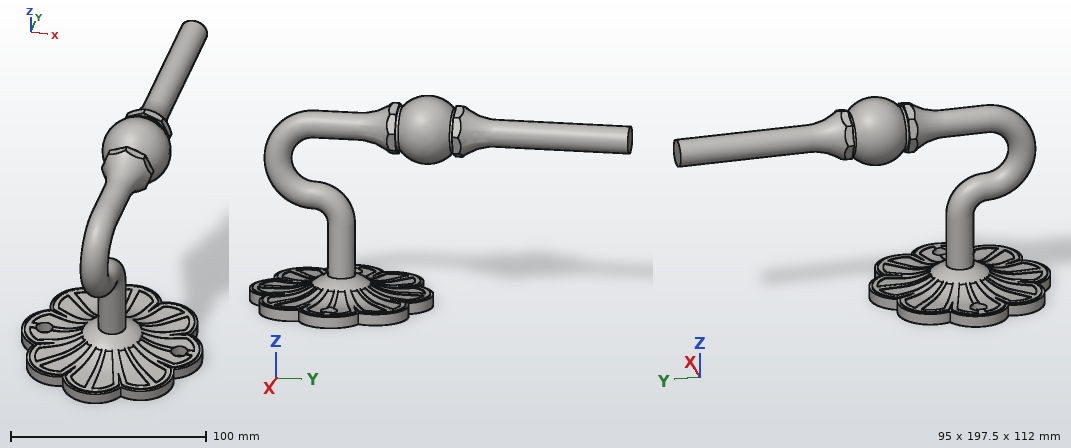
import cadquery as cq
import math

length = 197.5
rosette_width = 95.0
height = 112.0
rosette_radius = rosette_width / 2

petals = 8
petal_radius = 17.0
petal_centre = rosette_radius - petal_radius
half_petal_angle = math.pi / petals
plate_top = 6.5
ledge_depth = 0.5
ledge_width = 1.48
ledge_top = plate_top - ledge_depth
raised_radius = petal_radius - ledge_width

rod_radius = 14.0 / 2
dome_radius = 15.2
dome_foot = 10.7
dome_top = 14.6
dome_mid_radius = 12.0
dome_mid_height = 12.8
flare_foot_radius = 30.0

panel_depth = 0.5
panel_margin = 2.8
panel_top_radius = 15.6
panel_foot_radius = 31.0
panel_arc_radius = raised_radius - panel_margin
petal_side_slope = math.radians(18)
panel_inner_reach = 11.8
rib_inner_half = 0.89
rib_outer_half = 2.0

hole_diameter = 8.5
hole_offset = 36.0

ball_radius = 17.5
rod_height = height - ball_radius
stem_top = 42.5
lower_bend = 14.0
upper_bend = (rod_height - stem_top - lower_bend) / 2
rod_end = length - rosette_radius

ball_y = 44.8
nut_face = 14.8
sleeve_end = 35.2
sleeve_flare_radius = 26.0
nut_corner_radius = 13.5
nut_turn = 3
nut_sides = 8
collar_radius = 11.5


def tangent_arc_to_level(profile, start, end):
    """Add an arc from start that arrives level at end."""
    run = end[0] - start[0]
    drop = start[1] - end[1]
    radius = (run ** 2 + drop ** 2) / (2 * drop)
    half_sweep = math.asin(run / radius) / 2
    middle = (
        end[0] - radius * math.sin(half_sweep),
        end[1] + radius * (1 - math.cos(half_sweep)),
    )
    return profile.threePointArc(middle, end)


def side_point(line_distance, reach):
    """Point on the straight side line of a petal lying along +X."""
    c = math.cos(petal_side_slope)
    s = math.sin(petal_side_slope)
    return (reach * c - line_distance * s, reach * s + line_distance * c)


def side_corner(line_distance, arc_radius):
    """Outer crossing of the side line with a circle about the petal centre."""
    rise = line_distance + petal_centre * math.sin(petal_side_slope)
    reach = petal_centre * math.cos(petal_side_slope) + math.sqrt(arc_radius ** 2 - rise ** 2)
    return side_point(line_distance, reach)


def around(shape):
    """Repeat a petal feature around the rosette."""
    copies = shape
    for i in range(1, petals):
        copies = copies.union(shape.rotate((0, 0, 0), (0, 0, 1), i * 360 / petals))
    return copies


side_distance = flare_foot_radius * math.sin(half_petal_angle - petal_side_slope)


def raised_petal():
    meeting = (
        flare_foot_radius * math.cos(half_petal_angle),
        flare_foot_radius * math.sin(half_petal_angle),
    )
    corner = side_corner(side_distance, raised_radius)
    return (
        cq.Workplane("XY")
        .moveTo(0, 0)
        .lineTo(*meeting)
        .lineTo(*corner)
        .threePointArc((petal_centre + raised_radius, 0), (corner[0], -corner[1]))
        .lineTo(meeting[0], -meeting[1])
        .close()
        .extrude(plate_top)
    )


def centre_rise():
    """Dome and flare, turned about Z."""
    profile = (
        cq.Workplane("XZ")
        .moveTo(0, 0)
        .lineTo(0, dome_top)
        .lineTo(rod_radius, dome_top)
        .threePointArc((dome_mid_radius, dome_mid_height), (dome_radius, dome_foot))
    )
    profile = tangent_arc_to_level(profile, (dome_radius, dome_foot), (flare_foot_radius, plate_top))
    return profile.lineTo(flare_foot_radius, 0).close().revolve(360, (0, 0, 0), (0, 1, 0))


def panel_pair():
    """Outlines of the two panels of one petal, as prisms."""
    panel_side = side_distance - panel_margin
    corner = side_corner(panel_side, panel_arc_radius)
    inner = side_point(panel_side, panel_inner_reach)
    tip_angle = math.asin(rib_outer_half / panel_arc_radius)
    corner_angle = math.atan2(corner[1], corner[0] - petal_centre)
    mid_angle = (tip_angle + corner_angle) / 2

    def on_arc(angle):
        return (
            petal_centre + panel_arc_radius * math.cos(angle),
            panel_arc_radius * math.sin(angle),
        )

    panel = (
        cq.Workplane("XY")
        .moveTo(inner[0], rib_inner_half)
        .lineTo(*on_arc(tip_angle))
        .threePointArc(on_arc(mid_angle), corner)
        .lineTo(*inner)
        .close()
        .extrude(dome_top)
    )
    return panel.union(panel.mirror("XZ"))


def space_above_panels():
    """Ring-shaped space outside the dome and above the sunken panel surface."""
    start = (panel_top_radius, dome_foot - panel_depth)
    floor = plate_top - panel_depth
    profile = (
        cq.Workplane("XZ")
        .moveTo(dome_radius, dome_top)
        .lineTo(dome_radius, dome_foot)
        .lineTo(*start)
    )
    profile = tangent_arc_to_level(profile, start, (panel_foot_radius, floor))
    return (
        profile.lineTo(rosette_radius, floor)
        .lineTo(rosette_radius, dome_top)
        .close()
        .revolve(360, (0, 0, 0), (0, 1, 0))
    )


def rosette():
    rim_petal = cq.Workplane("XY").center(petal_centre, 0).circle(petal_radius).extrude(ledge_top)
    base = around(rim_petal).union(around(raised_petal())).union(centre_rise())
    base = base.cut(around(panel_pair()).intersect(space_above_panels()))
    holes = (
        cq.Workplane("XY")
        .pushPoints([(-hole_offset, 0), (hole_offset, 0)])
        .circle(hole_diameter / 2)
        .extrude(plate_top)
    )
    return base.cut(holes)


def bent_rod():
    """Upright stem, S-bend towards -Y and back, then straight along +Y."""
    diagonal = math.sqrt(0.5)
    bend_y = -lower_bend
    lower_top = stem_top + lower_bend
    path = (
        cq.Workplane("YZ")
        .moveTo(0, plate_top)
        .lineTo(0, stem_top)
        .threePointArc(
            (bend_y + lower_bend * diagonal, stem_top + lower_bend * diagonal),
            (bend_y, lower_top),
        )
        .threePointArc((bend_y - upper_bend, lower_top + upper_bend), (bend_y, rod_height))
        .lineTo(rod_end, rod_height)
    )
    return cq.Workplane("XY").workplane(offset=plate_top).circle(rod_radius).sweep(path)


def nut_sleeve():
    """Eight-sided nut on the +Y side of the ball, flaring down to the rod."""
    arc_rise = nut_corner_radius - rod_radius
    sweep = math.acos(1 - arc_rise / sleeve_flare_radius)
    arc_start = sleeve_end - sleeve_flare_radius * math.sin(sweep)
    arc_middle = (
        rod_radius + sleeve_flare_radius * (1 - math.cos(sweep / 2)),
        sleeve_end - sleeve_flare_radius * math.sin(sweep / 2),
    )
    turned = (
        cq.Workplane("XY")
        .moveTo(0, nut_face)
        .lineTo(nut_corner_radius, nut_face)
        .lineTo(nut_corner_radius, arc_start)
        .threePointArc(arc_middle, (rod_radius, sleeve_end))
        .lineTo(0, sleeve_end)
        .close()
        .revolve(360, (0, 0, 0), (0, 1, 0))
    )
    prism = (
        cq.Workplane("XZ")
        .polygon(nut_sides, 2 * nut_corner_radius)
        .extrude(-sleeve_end)
        .rotate((0, 0, 0), (0, 1, 0), -nut_turn)
    )
    return turned.intersect(prism)


def ball_joint():
    sleeve = nut_sleeve()
    collar = cq.Workplane("XZ").circle(collar_radius).extrude(nut_face, both=True)
    joint = cq.Workplane("XY").sphere(ball_radius).union(collar)
    joint = joint.union(sleeve).union(sleeve.mirror("XZ"))
    return joint.translate((0, ball_y, rod_height))


result = rosette().union(bent_rod()).union(ball_joint())